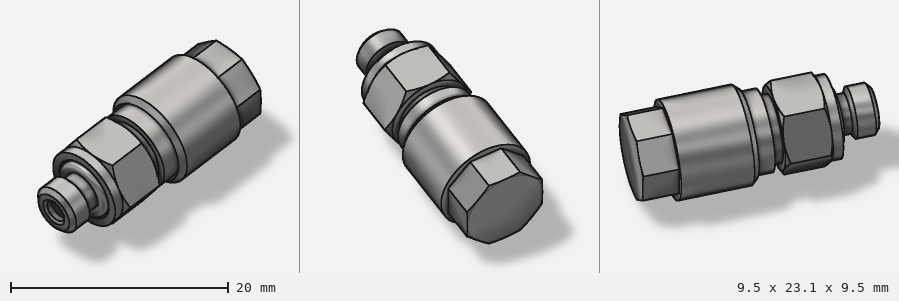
import cadquery as cq
import math

total_length = 23.1
tip_chamfer_end = 0.45
head_end = 2.2
stem_start = 2.55
flange_front = 3.97
hex_front = 4.97
hex_rear = 9.52
collar_front = 10.46
body_front = 12.05
body_chamfer_end = 12.64
body_mouth_depth = 0.46
octagon_front = 19.61

across_flats = 8.0
flange_radius = across_flats / 2
tip_radius = 1.99
head_radius = 2.47
stem_radius = 1.92
neck_radius = 3.25
collar_radius = 3.95
body_diameter = 9.5
body_radius = body_diameter / 2
body_front_radius = 4.23
hex_chamfer_angle = 30.0
octagon_chamfer_angle = 15.0

ring_outer_radius = 2.98
ring_section_radius = (ring_outer_radius - stem_radius) / 2
ring_front = 3.49
ring_center_y = ring_front + ring_section_radius
seat_mouth_radius = 3.19
seat_floor_radius = 2.9
seat_overlap = 0.02
seat_floor_y = ring_center_y + ring_section_radius - seat_overlap

recess_mouth_radius = 1.36
recess_bore_radius = 1.1
recess_chamfer_depth = recess_mouth_radius - recess_bore_radius
recess_depth = 0.83


def revolve_profile(points):
    """Revolve (radius, y) points about the Y axis."""
    return cq.Workplane("XY").polyline(points).close().revolve(360, (0, 0, 0), (0, 1, 0))


def prism(sides, start, end):
    """Regular prism along Y with flats facing +Z and -Z."""
    corner_diameter = across_flats / math.cos(math.pi / sides)
    blank = cq.Workplane("XZ").polygon(sides, corner_diameter).extrude(start - end)
    turn = 180 / sides if sides % 4 == 0 else 0
    return blank.rotate((0, 0, 0), (0, 1, 0), turn).translate((0, start, 0))


def corner_chamfer(sides, angle):
    """Return the corner radius and the axial chamfer length at the corners."""
    corner_radius = flange_radius / math.cos(math.pi / sides)
    return corner_radius, (corner_radius - flange_radius) * math.tan(math.radians(angle))


def make_hex_nut():
    corner_radius, drop = corner_chamfer(6, hex_chamfer_angle)
    envelope = revolve_profile([
        (0, hex_front),
        (flange_radius, hex_front),
        (corner_radius, hex_front + drop),
        (corner_radius, hex_rear - drop),
        (flange_radius, hex_rear),
        (0, hex_rear),
    ])
    return prism(6, hex_front, hex_rear).intersect(envelope)


def make_rear_octagon():
    corner_radius, drop = corner_chamfer(8, octagon_chamfer_angle)
    envelope = revolve_profile([
        (0, octagon_front),
        (corner_radius, octagon_front),
        (corner_radius, total_length - drop),
        (flange_radius, total_length),
        (0, total_length),
    ])
    return prism(8, octagon_front, total_length).intersect(envelope)


def make_turned_core():
    return revolve_profile([
        (0, 0),
        (tip_radius, 0),
        (head_radius, tip_chamfer_end),
        (head_radius, head_end),
        (stem_radius, stem_start),
        (stem_radius, seat_floor_y),
        (seat_floor_radius, seat_floor_y),
        (seat_mouth_radius, flange_front),
        (flange_radius, flange_front),
        (flange_radius, hex_front),
        (neck_radius, hex_front),
        (neck_radius, collar_front),
        (collar_radius, collar_front),
        (collar_radius, body_front + body_mouth_depth),
        (body_front_radius, body_front),
        (body_radius, body_chamfer_end),
        (body_radius, octagon_front),
        (0, octagon_front),
    ])


def make_seal_ring():
    ring_radius = ring_outer_radius - ring_section_radius
    section = cq.Workplane("XY").center(ring_radius, ring_center_y).circle(ring_section_radius)
    return section.revolve(360, (-ring_radius, 0, 0), (-ring_radius, 1, 0))


def make_tip_recess():
    return revolve_profile([
        (0, 0),
        (recess_mouth_radius, 0),
        (recess_bore_radius, recess_chamfer_depth),
        (recess_bore_radius, recess_depth),
        (0, recess_depth),
    ])


result = (
    make_turned_core()
    .union(make_hex_nut())
    .union(make_rear_octagon())
    .union(make_seal_ring())
    .cut(make_tip_recess())
)